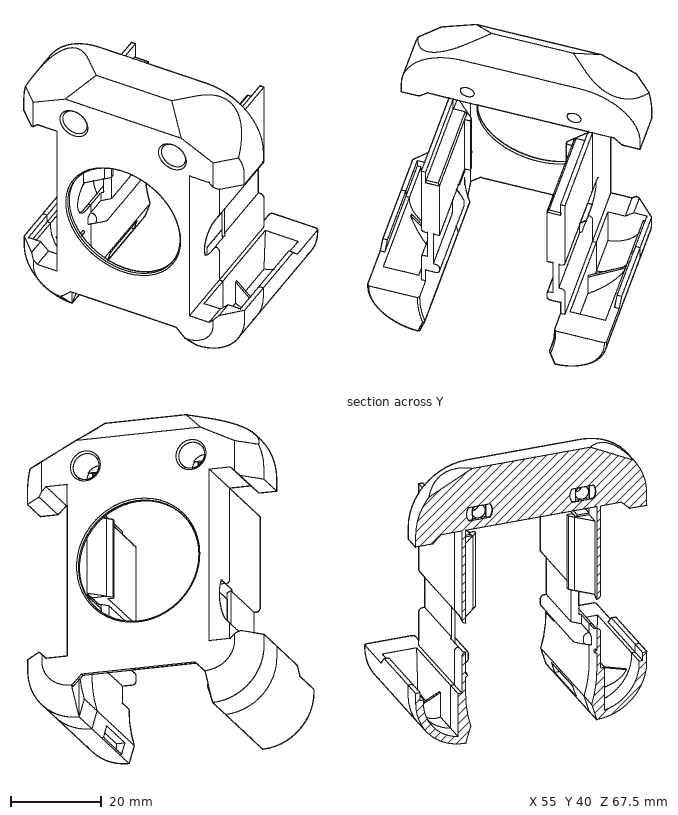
import cadquery as cq
half_width = 27.505
height = 67.5
depth = 40.0
seam_y = 14.05

wall_outer = 16.55
wall = 1.0
wall_inner = wall_outer - wall
wall_back = 35.0
wall_top = 52.45
plate_bottom = 8.0
plate_chamfer = 2.35

head_radius = 14.05
head_chamfer = 5.05
ear_bottom = 50.55
ear_inner = half_width - 6.1
ear_chamfer = 1.95
corner_rise = 58.45

window_diameter = 28.0
window_z = 33.1
window_chamfer = 0.35
screw_x = 12.3
screw_z = 56.3
counterbore_diameter = 6.0
counterbore_chamfer = 0.5
counterbore_depth = 9.45
bore_diameter = 3.2
bridge_width = 3.3
bridge_step = 0.4

foot_radius = 11.95
foot_front_radius = 6.9
foot_front_rise = 5.75
foot_front_depth = 5.25
foot_centre_x = -wall_inner
foot_tip_x = -14.3
foot_tip_z = 4.05
foot_bow_x = -15.0
foot_bow_z = 6.75
ledge_z = 12.6
rim_z = 14.6
rim_width = 1.1
rim_back = 30.05
rim_chamfer = rim_z - ledge_z
foot_back_chamfer = 0.4
pocket_radius = 10.05
pocket_side = 17.4
pocket_back = 34.0
pocket_lean = 0.8
notch_side = 16.6
notch_front = 21.6
notch_bottom = 0.4
notch_top = 3.0
rib_start_y = 14.6
rib_end_y = 20.0
rib_width = 0.55
rib_top = 8.1

slot_y = 12.15
slot_z = 26.05
slot_radius = 4.3
slot_round = 0.95
slot_depth = 1.4

rail_x = 12.35
rail_bottom = 30.45
rail_top = 48.95
rail_chamfer = 0.4
hook_x = 11.0
hook_nose = 15.1
hook_back = 15.85
panel_x = 13.8
panel_front = 18.7
bar_front = 12.7
bar_bottom = 16.55
bar_top = 19.5
bar_round = 0.95
bead_radius = 0.4
bead_z = 16.75
bead_end = 10.3

FAR = 2 * height


def box(x0, x1, y0, y1, z0, z1):
    """Box between two opposite corners."""
    return cq.Workplane("XY").box(x1 - x0, y1 - y0, z1 - z0, centered=False).translate((x0, y0, z0))


def prism(outline, y0, y1):
    """Straight prism along Y from an outline given in X and Z."""
    return cq.Workplane("XZ", origin=(0, y0, 0)).polyline(outline).close().extrude(y0 - y1)


def plan_prism(outline, z0, z1):
    """Straight prism along Z from an outline given in X and Y."""
    return cq.Workplane("XY", origin=(0, 0, z0)).polyline(outline).close().extrude(z1 - z0)


def mirrored(body):
    return body.mirror("YZ")


def both_sides(body):
    return body.union(mirrored(body))


def head():
    outline = [
        (-wall_outer, wall_top),
        (-ear_inner, wall_top),
        (-ear_inner - ear_chamfer, ear_bottom),
        (-half_width, ear_bottom),
        (-half_width, height),
        (0, height),
        (0, wall_top),
    ]
    half = prism(outline, 0, seam_y)
    half = half.edges(cq.selectors.NearestToPointSelector((-half_width, seam_y / 2, height)))
    half = half.fillet(head_radius)
    front_half_width = half_width - head_chamfer
    side_taper = plan_prism(
        [(-front_half_width, 0), (-half_width, head_chamfer), (-half_width, 0)], 0, height
    )
    top_taper = (
        cq.Workplane("YZ", origin=(-half_width, 0, 0))
        .polyline([(0, height - head_chamfer), (head_chamfer, height), (0, height)])
        .close()
        .extrude(2 * half_width)
    )
    corner_plane = cq.Plane((-front_half_width, 0, corner_rise), (1, -1, 0), (-1, -1, 2))
    corner_cut = cq.Workplane(corner_plane).rect(FAR, FAR).extrude(height)
    return both_sides(half.cut(side_taper).cut(top_taper).cut(corner_cut))


def screw_hole(x):
    """Counterbore from the front, two stepped bridges and a through bore."""
    face = cq.Workplane("XZ", origin=(x, 0, screw_z))
    counterbore = face.circle(counterbore_diameter / 2).extrude(-counterbore_depth)
    lead_in = (
        face.circle(counterbore_diameter / 2 + counterbore_chamfer)
        .workplane(offset=-counterbore_chamfer)
        .circle(counterbore_diameter / 2)
        .loft()
    )
    bridge = (
        face.rect(counterbore_diameter, bore_diameter)
        .extrude(-counterbore_depth - bridge_step)
        .intersect(face.circle(counterbore_diameter / 2).extrude(-seam_y))
    )
    square = face.rect(bridge_width, bore_diameter).extrude(-counterbore_depth - 2 * bridge_step)
    bore = face.circle(bore_diameter / 2).extrude(-seam_y)
    return counterbore.union(lead_in).union(bridge).union(square).union(bore)


def front_plate():
    outline = [
        (-wall_outer, wall_top),
        (-wall_outer, ledge_z),
        (-wall_inner, plate_bottom - plate_chamfer),
        (-wall_inner + plate_chamfer, plate_bottom),
        (wall_inner - plate_chamfer, plate_bottom),
        (wall_inner, plate_bottom - plate_chamfer),
        (wall_outer, ledge_z),
        (wall_outer, wall_top),
    ]
    return prism(outline, 0, wall)


def window():
    face = cq.Workplane("XZ", origin=(0, 0, window_z))
    radius = window_diameter / 2
    hole = face.circle(radius).extrude(-wall)
    lead_in = face.circle(radius + window_chamfer).workplane(offset=-window_chamfer).circle(radius).loft()
    return hole.union(lead_in)


def slot():
    """Cutter for the slot: open at the back, round at the front."""
    return (
        cq.Workplane("YZ", origin=(-wall_outer, 0, 0))
        .moveTo(wall_back, slot_z - slot_radius)
        .lineTo(slot_y, slot_z - slot_radius)
        .threePointArc((slot_y - slot_radius, slot_z), (slot_y, slot_z + slot_radius))
        .lineTo(wall_back, slot_z + slot_radius)
        .close()
        .extrude(slot_depth)
    )


def side_wall():
    slab = box(-wall_outer, -wall_inner, 0, wall_back, ledge_z, wall_top)
    rim = cq.selectors.BoxSelector(
        (-wall_outer - wall / 2, 0.7, slot_z - slot_radius - 0.7),
        (-wall_outer + wall / 2, wall_back - 0.7, slot_z + slot_radius + 0.7),
    )
    return slab.cut(slot()).edges(rim).fillet(slot_round)


def foot_front_section(y, width, drop):
    """Outline of the tapered front of the foot: a straight side above a quarter ellipse."""
    return (
        cq.Workplane("XZ", origin=(0, y, 0))
        .moveTo(foot_centre_x, rim_z)
        .lineTo(foot_centre_x - width, rim_z)
        .lineTo(foot_centre_x - width, foot_radius)
        .ellipseArc(width, drop, 180, 270)
        .close()
        .wire()
        .val()
    )


def foot_front():
    near = foot_front_section(0, foot_front_radius, foot_radius - foot_front_rise)
    far = foot_front_section(foot_front_depth, half_width + foot_centre_x, foot_radius)
    return cq.Workplane(cq.Solid.makeLoft([near, far], True))


def foot_body():
    diagonal = foot_radius * 0.5 ** 0.5
    body = (
        cq.Workplane("XZ", origin=(0, foot_front_depth, 0))
        .moveTo(-wall_inner, rim_z)
        .lineTo(-half_width, rim_z)
        .lineTo(-half_width, foot_radius)
        .threePointArc(
            (foot_centre_x - diagonal, foot_radius - diagonal), (foot_centre_x, 0)
        )
        .lineTo(foot_tip_x, foot_tip_z)
        .threePointArc((foot_bow_x, foot_bow_z), (-wall_inner, ledge_z))
        .close()
        .extrude(foot_front_depth - depth)
    )
    return body.faces(">Y").edges().chamfer(foot_back_chamfer)


def foot_top_cut():
    """Space above the ledge, leaving the raised outer rim and the chamfered front end."""
    front = prism(
        [
            (-ear_inner, ledge_z),
            (-ear_inner - rim_chamfer, rim_z),
            (-wall_outer, rim_z),
            (-wall_outer, ledge_z),
        ],
        0, foot_front_depth,
    )
    inside = box(-half_width + rim_width, -wall_outer, foot_front_depth, depth, ledge_z, rim_z)
    behind = (
        cq.Workplane("YZ", origin=(-half_width, 0, 0))
        .polyline([(rim_back - rim_chamfer, rim_z), (rim_back, ledge_z), (depth, ledge_z), (depth, rim_z)])
        .close()
        .extrude(half_width)
    )
    return front.union(inside).union(behind)


def pocket_well():
    """Hollow with upright sides, a round floor and a back wall that leans inwards at the bottom."""
    outer_side = foot_centre_x - pocket_radius
    round_floor = (
        cq.Workplane("XZ", origin=(foot_centre_x, 0, foot_radius))
        .circle(pocket_radius)
        .extrude(-depth)
        .union(box(outer_side, foot_centre_x, 0, depth, foot_radius, rim_z))
    )
    trough = box(-half_width, -pocket_side, 0, depth, 0, ledge_z).intersect(round_floor)
    length_outline = [
        (foot_front_depth, 0),
        (foot_front_depth, ledge_z),
        (pocket_back, ledge_z),
        (pocket_back - pocket_lean, 0),
    ]
    length = (
        cq.Workplane("YZ", origin=(-half_width, 0, 0)).polyline(length_outline).close().extrude(half_width)
    )
    return trough.intersect(length)


def foot_pocket():
    """The well, less a thin diagonal rib that stands on its floor."""
    outer_side = foot_centre_x - pocket_radius
    rib = plan_prism(
        [
            (outer_side, rib_start_y),
            (-pocket_side, rib_end_y),
            (-pocket_side, rib_end_y + rib_width),
            (outer_side, rib_start_y + rib_width),
        ],
        0, rib_top,
    )
    return pocket_well().cut(rib)


def foot_notch():
    """Recess under the inner tip of the foot."""
    return box(-notch_side, foot_tip_x, notch_front, pocket_back, notch_bottom, notch_top)


def foot():
    return foot_front().union(foot_body()).cut(foot_top_cut()).cut(foot_pocket()).cut(foot_notch())


def hook():
    """Wedge with a 45 degree front face, running across the seam."""
    reach = wall_inner - hook_x
    outline = [
        (-wall_inner, hook_nose - reach),
        (-hook_x, hook_nose),
        (-hook_x, hook_back),
        (-wall_inner, hook_back),
    ]
    return plan_prism(outline, rail_bottom, rail_top - rail_chamfer)


def rail():
    body = box(-wall_inner, -rail_x, seam_y, wall_back, rail_bottom, rail_top)
    return body.faces(">Z").edges(">X or >Y").chamfer(rail_chamfer)


def slanted_strip(side_x, front, bottom, top):
    """Strip along the wall with a 45 degree front end."""
    reach = wall_inner - side_x
    outline = [
        (-wall_inner, front),
        (-side_x, front + reach),
        (-side_x, wall_back),
        (-wall_inner, wall_back),
    ]
    return plan_prism(outline, bottom, top)


def panel():
    """Thin strip that closes the back of the slot from the inside."""
    return slanted_strip(panel_x, panel_front, bar_top, rail_bottom).cut(slot())


def bar():
    strip = slanted_strip(rail_x, bar_front, bar_bottom, bar_top)
    return strip.edges("not (<X or >Y)").fillet(bar_round)


def bead():
    """Small round ridge on the wall behind the front plate."""
    return cq.Workplane("XZ", origin=(-wall_inner, 0, bead_z)).circle(bead_radius).extrude(-bead_end)


def left_side():
    side = side_wall().union(foot())
    for part in (hook(), rail(), panel(), bar(), bead()):
        side = side.union(part)
    return side


def in_front_of_seam(body):
    return body.intersect(box(-FAR, FAR, 0, seam_y, -FAR, FAR))


def behind_seam(body):
    return body.intersect(box(-FAR, FAR, seam_y, FAR, -FAR, FAR))


def make_housing(side):
    body = both_sides(in_front_of_seam(side)).union(head()).union(front_plate()).cut(window())
    for x in (-screw_x, screw_x):
        body = body.cut(screw_hole(x))
    return body


left = left_side()
housing = make_housing(left)
left_arm = behind_seam(left)
right_arm = mirrored(left_arm)

result = cq.Compound.makeCompound([housing.val(), left_arm.val(), right_arm.val()])